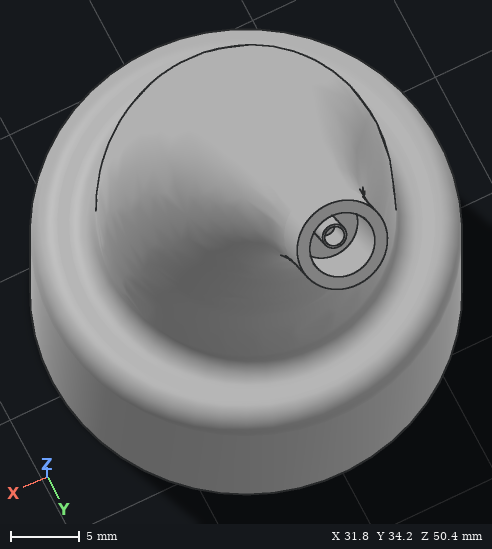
import cadquery as cq
import math

base_diameter = 31.8
shoulder_diameter = 27.8
base_height = 14.35
rim_radius = (base_diameter - shoulder_diameter) / 2

horn_diameter = 22.1
root_radius = 1.95
horn_start = base_height + root_radius

total_height = 50.4
tip_tilt = 45.0
tube_diameter = 7.0
tube_length = 3.0
tip_y = 15.8
tip_z = total_height - tube_diameter / 2 * math.sin(math.radians(tip_tilt))

socket_diameter = 5.05
socket_depth = 4.0
post_diameter = 1.85
post_bore = 1.5
post_recess = 1.8

horn_sections = [
    (0.25, 22.2, 21.45, 4),
    (1.35, 27.6, 19.75, 10),
    (4.4, 35.6, 14.95, 20),
    (7.6, 40.2, 10.95, 30),
    (11.15, 43.65, 7.85, 42),
]


def tilted_plane(y, z, tilt):
    """Plane centred on X = 0 whose normal leans from +Z toward +Y."""
    angle = math.radians(tilt)
    normal = (0, math.sin(angle), math.cos(angle))
    return cq.Plane(origin=(0, y, z), xDir=(1, 0, 0), normal=normal)


def section_wire(y, z, diameter, tilt):
    return cq.Workplane(tilted_plane(y, z, tilt)).circle(diameter / 2).wires().val()


def make_base():
    """Round collar with a rounded rim and a concave fillet up to the horn."""
    base_r = base_diameter / 2
    horn_r = horn_diameter / 2
    diagonal = math.sqrt(0.5)
    rim_mid = (
        base_r - rim_radius * (1 - diagonal),
        base_height - rim_radius * (1 - diagonal),
    )
    root_mid = (
        horn_r + root_radius * (1 - diagonal),
        base_height + root_radius * (1 - diagonal),
    )
    return (
        cq.Workplane("XZ")
        .lineTo(base_r, 0)
        .lineTo(base_r, base_height - rim_radius)
        .threePointArc(rim_mid, (shoulder_diameter / 2, base_height))
        .lineTo(horn_r + root_radius, base_height)
        .threePointArc(root_mid, (horn_r, horn_start))
        .lineTo(0, horn_start)
        .close()
        .revolve(360, (0, 0, 0), (0, 1, 0))
    )


tip_plane = tilted_plane(tip_y, tip_z, tip_tilt)
tube_start = tip_plane.toWorldCoords((0, 0, -tube_length))


def make_horn():
    """Tapering horn that bends from vertical into the outlet tube."""
    sections = [
        (0, horn_start, horn_diameter, 0),
        *horn_sections,
        (tube_start.y, tube_start.z, tube_diameter, tip_tilt),
    ]
    return cq.Workplane(cq.Solid.makeLoft([section_wire(*section) for section in sections]))


def make_tube():
    return cq.Workplane(tip_plane).circle(tube_diameter / 2).extrude(-tube_length)


def make_socket():
    """Blind round socket in the tip, to be cut away."""
    return cq.Workplane(tip_plane).circle(socket_diameter / 2).extrude(-socket_depth)


def make_post():
    """Hollow post on the socket floor, ending below the tip face."""
    post_length = socket_depth - post_recess
    return (
        cq.Workplane(tip_plane)
        .workplane(offset=-socket_depth)
        .circle(post_diameter / 2)
        .circle(post_bore / 2)
        .extrude(post_length)
    )


body = make_base().union(make_horn()).union(make_tube())
result = body.cut(make_socket()).union(make_post())